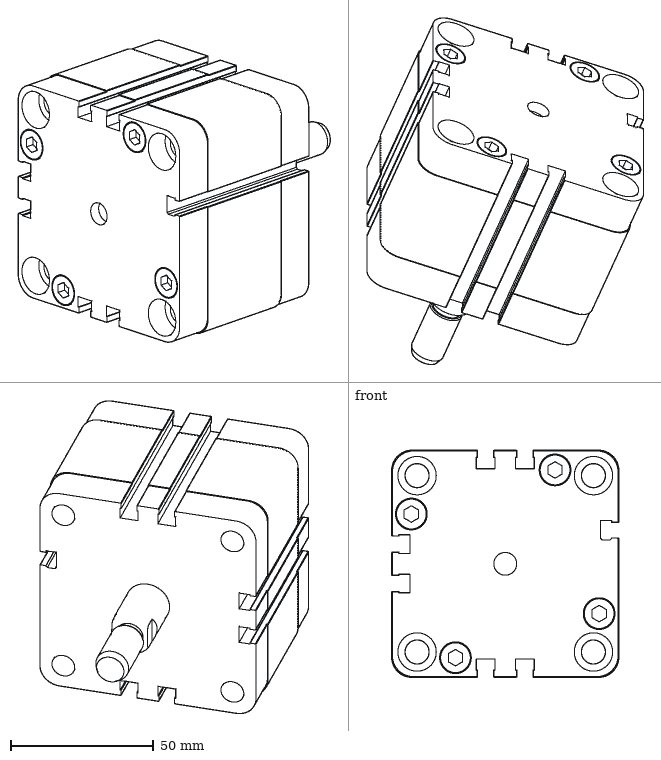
import cadquery as cq
import math

overall_length = 111.5
body_width = 80.0
body_half = body_width / 2

cap_step = 0.3
cap_width = body_width - 2 * cap_step
cap_length = 14.0
barrel_length = 37.0
body_length = barrel_length + 2 * cap_length
corner_radius = 7.2

slot_offset = 6.9
slot_depth = 6.5
slot_mouth = 5.7
slot_width = 6.5
slot_lip = 2.6
slot_mouth_chamfer = 0.2

side_slot_height = 11.8
side_slot_mouth = 5.5
side_slot_width = 6.8
side_slot_corner = 0.6

mount_offset = 31.0
mount_diameter = 8.4
mount_bore_diameter = 13.5
mount_bore_depth = 8.5

screw_near = 17.5
screw_far = 33.0
screw_pocket_diameter = 11.2
screw_head_diameter = 10.5
screw_gap_depth = 5.6
socket_flats = 5.0
socket_depth = 3.3

centre_diameter = 8.0
centre_depth = 4.0

rod_diameter = 16.0
rod_shoulder_round = 1.7
thread_diameter = 12.0
thread_end_diameter = 10.0
thread_length = 21.2
thread_tip_length = 2.5
thread_root_chamfer = 0.5
neck_diameter = 10.0
neck_length = 2.6
wrench_flats = 13.0
wrench_length = 5.8


def block(width, y_start, length):
    """Square block with rounded long edges, running along +Y."""
    return (
        cq.Workplane("XZ", origin=(0, y_start, 0))
        .rect(width, width)
        .extrude(-length)
        .edges("|Y")
        .fillet(corner_radius)
    )


def drill(points, diameter, depth):
    """Cylinders that start in the -Y face at (x, z) points."""
    return cq.Workplane("XZ").pushPoints(points).circle(diameter / 2).extrude(-depth)


def slot_cutter(side, offset, mouth, width, lower_corner=0):
    """Stepped slot into the side X = side, centred at Z = offset, with a chamfered mouth."""
    floor = body_half - slot_depth
    lip = body_half - slot_lip
    inner = cq.Workplane("XZ").center((floor + lip) / 2, offset)
    inner = inner.rect(lip - floor, width).extrude(-body_length)
    if lower_corner:
        inner = inner.faces("<Z").edges("|Y").chamfer(lower_corner)
    half_mouth = mouth / 2
    flared = half_mouth + slot_mouth_chamfer
    outer = (
        cq.Workplane("XZ")
        .center(0, offset)
        .moveTo(floor, -half_mouth)
        .lineTo(side - slot_mouth_chamfer, -half_mouth)
        .lineTo(side, -flared)
        .lineTo(side, flared)
        .lineTo(side - slot_mouth_chamfer, half_mouth)
        .lineTo(floor, half_mouth)
        .close()
        .extrude(-body_length)
    )
    return inner.union(outer)


def turned(solid, degrees):
    """Turn a solid about the rod axis."""
    return solid.rotate((0, 0, 0), (0, 1, 0), degrees)


def slotted_block(width, y_start, length):
    """Block with two slots each in the top, left and bottom sides and one in the right side."""
    section = block(width, y_start, length)
    side = width / 2
    for side_angle in (90, 180, 270):
        for offset in (-slot_offset, slot_offset):
            slot = slot_cutter(side, offset, slot_mouth, slot_width)
            section = section.cut(turned(slot, side_angle))
    side_slot = slot_cutter(side, side_slot_height, side_slot_mouth, side_slot_width, side_slot_corner)
    return section.cut(side_slot)


def build_rod():
    """Piston rod with wrench flats, neck and threaded end."""
    rod_r = rod_diameter / 2
    thread_r = thread_diameter / 2
    neck_r = neck_diameter / 2
    thread_start = overall_length - thread_length
    shoulder = thread_start - neck_length
    rod = (
        cq.Workplane("XY")
        .moveTo(0, body_length - cap_length)
        .lineTo(rod_r, body_length - cap_length)
        .lineTo(rod_r, shoulder - rod_shoulder_round)
        .radiusArc((rod_r - rod_shoulder_round, shoulder), -rod_shoulder_round)
        .lineTo(neck_r, shoulder)
        .lineTo(neck_r, thread_start)
        .lineTo(thread_r - thread_root_chamfer, thread_start)
        .lineTo(thread_r, thread_start + thread_root_chamfer)
        .lineTo(thread_r, overall_length - thread_tip_length)
        .lineTo(thread_end_diameter / 2, overall_length)
        .lineTo(0, overall_length)
        .close()
        .revolve(360, (0, 0, 0), (0, 1, 0))
    )
    flat_x = wrench_flats / 2
    flat_start = shoulder - wrench_length
    flat = (
        cq.Workplane("XY")
        .moveTo(flat_x, shoulder)
        .lineTo(flat_x, flat_start)
        .lineTo(flat_x + rod_r, flat_start - rod_r)
        .lineTo(flat_x + rod_r, shoulder)
        .close()
        .extrude(rod_r, both=True)
    )
    return rod.cut(flat).cut(turned(flat, 180))


body = slotted_block(cap_width, 0, cap_length)
body = body.union(slotted_block(body_width, cap_length, barrel_length))
body = body.union(slotted_block(cap_width, cap_length + barrel_length, cap_length))

mount_points = [(x, z) for x in (-mount_offset, mount_offset) for z in (-mount_offset, mount_offset)]
body = body.cut(drill(mount_points, mount_diameter, body_length))
body = body.cut(drill(mount_points, mount_bore_diameter, mount_bore_depth))

screw_points = [
    (screw_near, screw_far),
    (-screw_far, screw_near),
    (-screw_near, -screw_far),
    (screw_far, -screw_near),
]
screw_gap = drill(screw_points, screw_pocket_diameter, screw_gap_depth).cut(
    drill(screw_points, screw_head_diameter, screw_gap_depth)
)
body = body.cut(screw_gap)
for x, z in screw_points:
    socket = cq.Workplane("XZ", origin=(x, 0, z)).polygon(6, socket_flats / math.cos(math.pi / 6))
    socket = socket.extrude(-socket_depth).rotate((x, 0, z), (x, 1, z), 90)
    body = body.cut(socket)

body = body.cut(drill([(0, 0)], centre_diameter, centre_depth))

result = body.union(build_rod())